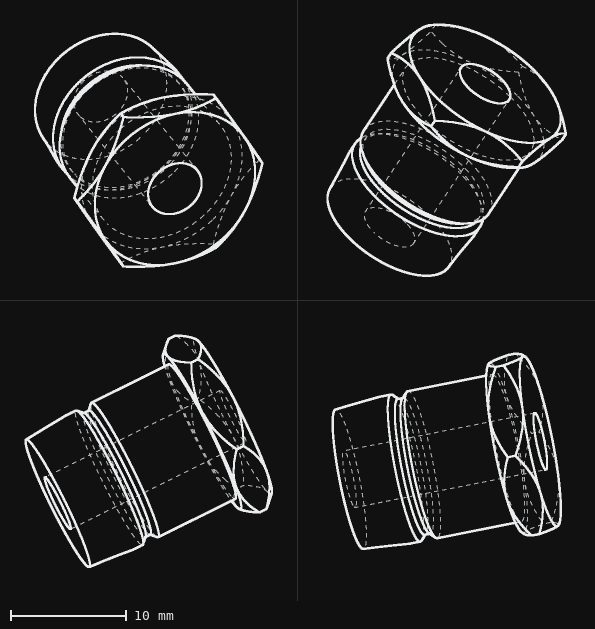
import cadquery as cq
import math

across_corners = 17.32
across_flats = across_corners * math.cos(math.pi / 6)
total_length = 17.0
head_thickness = 3.0
body_diameter = 13.0
nose_diameter = 12.33
nose_length = 4.0
bore_diameter = 5.0

groove_start = 5.0
groove_diameter = 12.0
groove_step = 0.5

head_start = total_length - head_thickness


def make_body():
    """Revolve the tapered, grooved body around the X axis."""
    body_radius = body_diameter / 2
    groove_radius = groove_diameter / 2
    return (
        cq.Workplane("XY")
        .moveTo(0, 0)
        .lineTo(0, nose_diameter / 2)
        .lineTo(nose_length, body_radius)
        .lineTo(groove_start, body_radius)
        .lineTo(groove_start + groove_step, groove_radius)
        .lineTo(groove_start + 2 * groove_step, groove_radius)
        .lineTo(groove_start + 3 * groove_step, body_radius)
        .lineTo(total_length, body_radius)
        .lineTo(total_length, 0)
        .close()
        .revolve(360, (0, 0, 0), (1, 0, 0))
    )


def make_head():
    """Hexagon with corners on Y, chamfered at 45 degrees on both faces."""
    hexagon = (
        cq.Workplane("YZ")
        .workplane(offset=head_start)
        .polygon(6, across_corners)
        .extrude(head_thickness)
    )
    face_radius = across_flats / 2
    middle_radius = face_radius + head_thickness / 2
    double_cone = (
        cq.Workplane("XY")
        .moveTo(head_start, 0)
        .lineTo(head_start, face_radius)
        .lineTo(head_start + head_thickness / 2, middle_radius)
        .lineTo(total_length, face_radius)
        .lineTo(total_length, 0)
        .close()
        .revolve(360, (0, 0, 0), (1, 0, 0))
    )
    return hexagon.intersect(double_cone)


bore = cq.Workplane("YZ").circle(bore_diameter / 2).extrude(total_length)

result = make_body().union(make_head()).cut(bore)